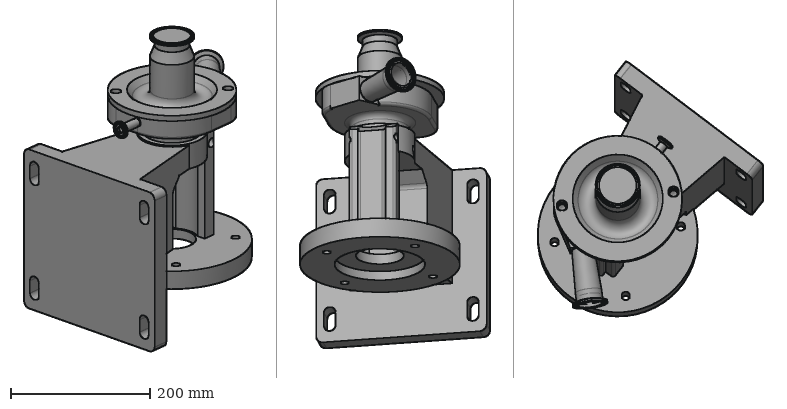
import cadquery as cq
import math


plate_size = 250.0
plate_thickness = 26.0
plate_front_y = -180.0
plate_back_y = plate_front_y + plate_thickness
plate_corner_radius = 10.0
slot_width = 17.0
slot_length = 36.5
slot_spacing_x = 210.0
slot_spacing_z = 180.0

disc_bottom_z = 55.0
disc_top_z = 83.3
disc_radius = 115.0
disc_bore_radius = 34.5
disc_bore_length = 15.0
disc_recess_radius = 65.0
disc_hole_diameter = 12.0
disc_hole_offset = 64.7

arm_top_z = plate_size
arm_bottom_z = 76.2
arm_root_half_width = 74.5
arm_taper = 0.195
arm_tip_y = -15.0
arm_front_y = -62.6
arm_foot_y = -96.3
arm_bend_angle = 45.0
arm_bend_radius = 10.0
arm_chamfer = 18.4
notch_depth = 20.0
notch_top_z = 104.3
notch_angle = 32.0

collar_radius = 50.5
collar_top_z = 252.5
collar_bottom_z = 213.0
collar_hole_diameter = 15.0
collar_hole_z = 225.5

column_half_width = 34.6
column_inner_y = 31.7
column_outer_y = 54.5
column_bore_radius = 38.0
column_corner_radius = 4.2
column_top_slant_y = 43.8
column_top_low_z = 236.8
rib_half_width = 20.0
rib_outer_y = 64.4
column_hole_diameter = 14.0
column_hole_y = 47.3
column_hole_z = 229.0

neck_radius = 41.8
neck_flare_radius = 9.3
casing_bottom_z = 272.2
casing_radius = 75.5
casing_corner_center = 41.6
casing_edge_radius = 4.4
casing_center_z = 290.0

flange_bottom_z = 309.2
flange_top_z = 317.7
flange_radius = 92.5
recess_top_radius = 64.8
recess_floor_radius = 57.3
recess_depth = 9.1
bolt_circle_radius = 80.8
bolt_hole_diameter = 15.0
bolt_hole_depth = 12.0
bolt_step_diameter = 12.0
bolt_step_depth = 20.0
drill_point_angle = 118.0

inlet_end_z = 403.0
inlet_tube_radius = 32.0
inlet_neck_radius = 25.2
inlet_cone_bottom_z = 370.7
inlet_cone_top_z = 387.7
inlet_rim_radius = 32.0
inlet_groove_radius = 28.2

outlet_offset = 58.2
outlet_end = 143.75
outlet_rim_radius = 25.25
outlet_groove_radius = 21.8
outlet_tube_radius = 19.05
outlet_straight = 19.7
outlet_root_radius = 16.3
outlet_bore_radius = 17.4
outlet_bore_straight = 13.0
outlet_bore_root_radius = 14.5
outlet_face = 61.8
outlet_block_inner = 41.0
outlet_block_outer = 76.5

drain_end_y = -113.0
drain_center_z = 291.8
drain_rim_radius = 12.6
drain_groove_radius = 9.8
drain_tube_radius = 6.5
drain_bore_radius = 5.0

rim_thickness = 2.85
rim_taper_angle = 20.0
groove_section_radius = 1.3

diagonal = math.sqrt(0.5)


def turned(points):
    """Solid of revolution about Z from (radius, height) points."""
    return cq.Workplane("XZ").polyline(points).close().revolve(360, (0, 0, 0), (0, 1, 0))


def cylinder(radius, bottom_z, top_z):
    return cq.Workplane("XY").workplane(offset=bottom_z).circle(radius).extrude(top_z - bottom_z)


def port_blank(rim_radius, groove_radius, tube_radius, tail):
    """Tube with a grooved clamp rim, end face on Z = 0; tail continues the (radius, height) outline."""
    rim_taper = (rim_radius - tube_radius) * math.tan(math.radians(rim_taper_angle))
    outline = [
        (0, 0),
        (rim_radius, 0),
        (rim_radius, -rim_thickness),
        (tube_radius, -rim_thickness - rim_taper),
    ]
    blank = turned(outline + tail + [(0, tail[-1][1])])
    groove = cq.Workplane("XY").add(cq.Solid.makeTorus(groove_radius, groove_section_radius))
    return blank.cut(groove)


def placed(body, origin, normal):
    """Move a body built along +Z so that its axis points along normal, with its end at origin."""
    location = cq.Plane(origin=origin, xDir=(0, 0, 1), normal=normal).location
    return cq.Workplane("XY").add(body.val().moved(location))


def make_back_plate():
    plate = (
        cq.Workplane("XZ", origin=(0, plate_back_y, plate_size / 2))
        .rect(plate_size, plate_size)
        .extrude(plate_thickness)
        .edges("|Y")
        .fillet(plate_corner_radius)
    )
    slots = (
        cq.Workplane("XZ", origin=(0, plate_back_y, plate_size / 2))
        .rect(slot_spacing_x, slot_spacing_z, forConstruction=True)
        .vertices()
        .slot2D(slot_length, slot_width, 90)
        .extrude(plate_thickness)
    )
    return plate.cut(slots)


def make_disc():
    """Motor disc with a wide locating recess below its central bore."""
    recess_top_z = disc_top_z - disc_bore_length
    disc = cylinder(disc_radius, disc_bottom_z, disc_top_z)
    disc = disc.cut(cylinder(disc_recess_radius, disc_bottom_z, recess_top_z))
    return disc.cut(cylinder(disc_bore_radius, recess_top_z, disc_top_z))


def cut_disc_holes(body):
    holes = (
        cq.Workplane("XY", origin=(0, 0, disc_bottom_z))
        .rect(2 * disc_hole_offset, 2 * disc_hole_offset, forConstruction=True)
        .vertices()
        .circle(disc_hole_diameter / 2)
        .extrude(disc_top_z - disc_bottom_z)
    )
    return body.cut(holes)


def arm_half_width(y):
    return arm_root_half_width - arm_taper * (y - plate_back_y)


def make_arm():
    """Tapered arm: plan outline intersected with a side profile, notched at both front foot corners."""
    root = arm_half_width(plate_back_y)
    tip = arm_half_width(arm_tip_y)
    plan = (
        cq.Workplane("XY", origin=(0, 0, arm_bottom_z))
        .polyline([(-root, plate_back_y), (root, plate_back_y), (tip, arm_tip_y), (-tip, arm_tip_y)])
        .close()
        .extrude(arm_top_z - arm_bottom_z)
    )
    bend_run = arm_bend_radius * math.tan(math.radians(arm_bend_angle / 2))
    bend_z = collar_bottom_z - arm_chamfer
    profile = (
        cq.Workplane("YZ")
        .moveTo(plate_back_y, arm_bottom_z)
        .lineTo(plate_back_y, arm_top_z)
        .lineTo(arm_tip_y, arm_top_z)
        .lineTo(arm_tip_y, collar_bottom_z)
        .lineTo(arm_front_y + arm_chamfer, collar_bottom_z)
        .lineTo(arm_front_y + bend_run * diagonal, bend_z + bend_run * diagonal)
        .tangentArcPoint((arm_front_y, bend_z - bend_run), relative=False)
        .lineTo(arm_front_y, disc_top_z)
        .lineTo(arm_foot_y, disc_top_z)
        .lineTo(arm_foot_y, arm_bottom_z)
        .close()
        .extrude(root, both=True)
    )
    arm = plan.intersect(profile)
    notch_back_y = arm_front_y - notch_depth
    notch_outer_x = arm_half_width(notch_back_y)
    notch_inner_x = notch_outer_x - notch_depth / math.tan(math.radians(notch_angle))
    for side in (-1, 1):
        notch = (
            cq.Workplane("XY", origin=(0, 0, disc_top_z))
            .polyline(
                [
                    (side * notch_outer_x, notch_back_y),
                    (side * notch_inner_x, arm_front_y),
                    (side * notch_outer_x, arm_front_y),
                ]
            )
            .close()
            .extrude(notch_top_z - disc_top_z)
        )
        arm = arm.cut(notch)
    return arm


def rounded_bar(half_width, outer_y):
    """Upright bar behind the collar with its two outer corners rounded."""
    return (
        cq.Workplane("XY", origin=(0, 0, disc_top_z))
        .polyline(
            [
                (-half_width, column_inner_y),
                (half_width, column_inner_y),
                (half_width, outer_y),
                (-half_width, outer_y),
            ]
        )
        .close()
        .extrude(collar_top_z - disc_top_z)
        .edges("|Z and >Y")
        .fillet(column_corner_radius)
    )


def make_column():
    column = rounded_bar(column_half_width, column_outer_y).union(rounded_bar(rib_half_width, rib_outer_y))
    slant = (
        cq.Workplane("YZ")
        .polyline(
            [
                (column_top_slant_y, collar_top_z),
                (rib_outer_y, column_top_low_z),
                (rib_outer_y, collar_top_z),
            ]
        )
        .close()
        .extrude(column_half_width, both=True)
    )
    bore = cylinder(column_bore_radius, disc_top_z, collar_bottom_z)
    return column.cut(slant).cut(bore)


def cut_column_hole(body):
    hole = (
        cq.Workplane("YZ")
        .center(column_hole_y, column_hole_z)
        .circle(column_hole_diameter / 2)
        .extrude(column_half_width, both=True)
    )
    return body.cut(hole)


def make_collar():
    """Collar around the neck spigot, with a side hole on -X reaching the spigot."""
    collar = cylinder(collar_radius, collar_bottom_z, collar_top_z)
    hole = (
        cq.Workplane("YZ", origin=(-collar_radius, 0, collar_hole_z))
        .circle(collar_hole_diameter / 2)
        .extrude(collar_radius)
    )
    return collar.cut(hole.cut(cylinder(neck_radius, collar_bottom_z, collar_top_z)))


def make_neck():
    flare_radius = neck_radius + neck_flare_radius
    flare_start_z = casing_bottom_z - neck_flare_radius
    flare_sag = neck_flare_radius * (1 - diagonal)
    flare_mid = (neck_radius + flare_sag, casing_bottom_z - flare_sag)
    return (
        cq.Workplane("XZ")
        .moveTo(0, collar_top_z)
        .lineTo(neck_radius, collar_top_z)
        .lineTo(neck_radius, flare_start_z)
        .threePointArc(flare_mid, (flare_radius, casing_bottom_z))
        .lineTo(0, casing_bottom_z)
        .close()
        .revolve(360, (0, 0, 0), (0, 1, 0))
    )


def make_casing():
    """Round casing squared out with rounded corners at the two bolts."""
    r = casing_radius
    c = casing_corner_center
    corner_mid = c + (r - c) * diagonal
    round_mid = r * diagonal
    return (
        cq.Workplane("XY", origin=(0, 0, casing_bottom_z))
        .moveTo(-r, 0)
        .lineTo(-r, -c)
        .threePointArc((-corner_mid, -corner_mid), (-c, -r))
        .lineTo(0, -r)
        .threePointArc((round_mid, -round_mid), (r, 0))
        .lineTo(r, c)
        .threePointArc((corner_mid, corner_mid), (c, r))
        .lineTo(0, r)
        .threePointArc((-round_mid, round_mid), (-r, 0))
        .close()
        .extrude(flange_bottom_z - casing_bottom_z)
        .faces("<Z")
        .edges()
        .fillet(casing_edge_radius)
    )


def make_outlet_block():
    """Block that carries the outlet face, its outer side tangent to the rounded casing corner."""
    corner_along = casing_corner_center / diagonal
    corner_radius = casing_radius - casing_corner_center
    offset = outlet_block_outer - corner_along
    reach = math.hypot(offset, outlet_face)
    tangent_angle = math.atan2(outlet_face, offset) - math.acos(corner_radius / reach)
    tangent_point = (
        corner_along + corner_radius * math.cos(tangent_angle),
        corner_radius * math.sin(tangent_angle),
    )
    plane = cq.Plane(origin=(0, 0, casing_bottom_z), xDir=(1, 1, 0), normal=(0, 0, 1))
    return (
        cq.Workplane(plane)
        .polyline(
            [
                (outlet_block_inner, 0),
                (outlet_block_inner, outlet_face),
                (outlet_block_outer, outlet_face),
                tangent_point,
                (corner_along, 0),
            ]
        )
        .close()
        .extrude(flange_bottom_z - casing_bottom_z)
    )


def cut_recess(body):
    """Ring trough tangent to the inlet tube, ending in a tangent cone up to the flange face."""
    wall_slope = math.atan2(recess_depth, recess_top_radius - recess_floor_radius)
    trough_radius = (recess_floor_radius - inlet_tube_radius) / (1 + math.sin(wall_slope))
    trough_center = inlet_tube_radius + trough_radius
    recess = (
        cq.Workplane("XZ")
        .moveTo(inlet_tube_radius, flange_top_z)
        .threePointArc(
            (trough_center, flange_top_z - trough_radius),
            (recess_floor_radius, flange_top_z - trough_radius * math.cos(wall_slope)),
        )
        .lineTo(recess_top_radius, flange_top_z)
        .close()
        .revolve(360, (0, 0, 0), (0, 1, 0))
    )
    return body.cut(recess)


def cut_bolt_holes(body):
    """Blind stepped holes with conical ends in the two squared-out casing corners."""
    wide = bolt_hole_diameter / 2
    narrow = bolt_step_diameter / 2
    tip_length = narrow / math.tan(math.radians(drill_point_angle / 2))
    cutter = turned(
        [
            (0, 0),
            (wide, 0),
            (wide, -bolt_hole_depth),
            (narrow, -bolt_hole_depth),
            (narrow, -bolt_step_depth),
            (0, -bolt_step_depth - tip_length),
        ]
    )
    for side in (-1, 1):
        offset = side * bolt_circle_radius * diagonal
        body = body.cut(cutter.translate((offset, offset, flange_top_z)))
    return body


def make_inlet():
    tail = [
        (inlet_neck_radius, inlet_cone_top_z - inlet_end_z),
        (inlet_tube_radius, inlet_cone_bottom_z - inlet_end_z),
        (inlet_tube_radius, casing_center_z - inlet_end_z),
    ]
    inlet = port_blank(inlet_rim_radius, inlet_groove_radius, inlet_neck_radius, tail)
    return inlet.translate((0, 0, inlet_end_z))


def add_outlet(body):
    """Tapered outlet tube with a bore that ends at the casing face."""
    depth = outlet_end - outlet_face
    tail = [(outlet_tube_radius, -outlet_straight), (outlet_root_radius, -depth)]
    blank = port_blank(outlet_rim_radius, outlet_groove_radius, outlet_tube_radius, tail)
    bore = turned(
        [
            (0, 0),
            (outlet_bore_radius, 0),
            (outlet_bore_radius, -outlet_bore_straight),
            (outlet_bore_root_radius, -depth),
            (0, -depth),
        ]
    )
    end_x = (outlet_offset - outlet_end) * diagonal
    end_y = (outlet_offset + outlet_end) * diagonal
    return body.union(placed(blank.cut(bore), (end_x, end_y, casing_center_z), (-1, 1, 0)))


def add_drain(body):
    """Drain port with a bore that ends at the casing wall."""
    depth = -casing_radius - drain_end_y
    tail = [(drain_tube_radius, -depth)]
    blank = port_blank(drain_rim_radius, drain_groove_radius, drain_tube_radius, tail)
    bore = cylinder(drain_bore_radius, -depth, 0)
    return body.union(placed(blank.cut(bore), (0, drain_end_y, drain_center_z), (0, -1, 0)))


bracket = make_back_plate().union(make_arm()).union(make_disc())
bracket = bracket.union(make_column()).union(make_collar())
bracket = cut_column_hole(cut_disc_holes(bracket))

pump = make_neck().union(make_casing()).union(make_outlet_block())
pump = pump.union(cylinder(flange_radius, flange_bottom_z, flange_top_z))
pump = cut_bolt_holes(cut_recess(pump)).union(make_inlet())
pump = add_drain(add_outlet(pump))

result = bracket.union(pump)